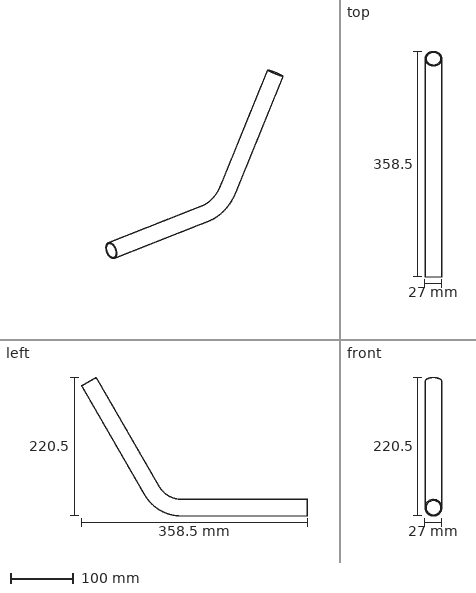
import cadquery as cq
import math

outer_diameter = 27.0
wall_thickness = 2.0
leg_length = 200.0
bend_angle = 60
overall_length = 358.5

outer_radius = outer_diameter / 2
inner_radius = outer_radius - wall_thickness
cos_bend = math.cos(math.radians(bend_angle))
sin_bend = math.sin(math.radians(bend_angle))
leaning_leg_reach = leg_length * cos_bend + outer_radius * sin_bend
bend_radius = (overall_length - leg_length - leaning_leg_reach) / sin_bend


def bend_point(angle):
    """Point (y, z) on the bend centreline after turning through an angle in degrees."""
    turn = math.radians(angle)
    y = leg_length + bend_radius * math.sin(turn)
    z = bend_radius * (1 - math.cos(turn))
    return y, z


bend_end_y, bend_end_z = bend_point(bend_angle)
tip = (bend_end_y + leg_length * cos_bend, bend_end_z + leg_length * sin_bend)
centreline = (
    cq.Workplane("YZ")
    .moveTo(0, 0)
    .lineTo(leg_length, 0)
    .threePointArc(bend_point(bend_angle / 2), (bend_end_y, bend_end_z))
    .lineTo(*tip)
)

result = (
    cq.Workplane("XZ")
    .circle(outer_radius)
    .circle(inner_radius)
    .sweep(centreline)
)